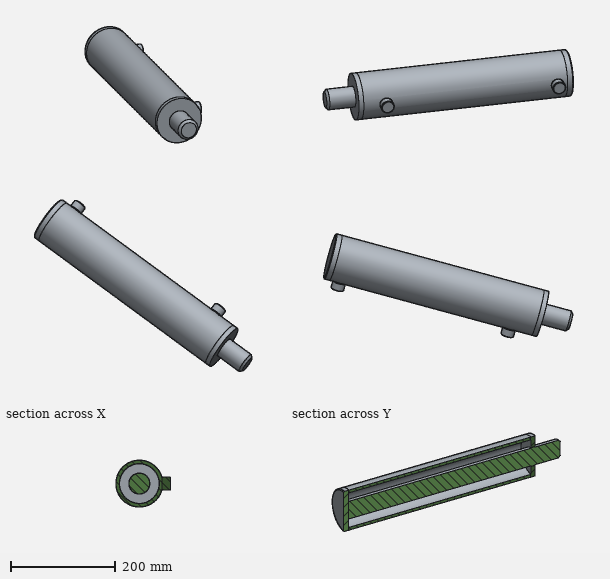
import cadquery as cq

total_length = 480.0
body_diameter = 90.0
cap_length = 12.0
barrel_end = 414.0
head_end = 424.0
cap_chamfer = 2.0

wall_thickness = 7.0
bore_diameter = body_diameter - 2 * wall_thickness
rod_diameter = 40.5
rod_chamfer = 5.0

port_diameter = 25.5
port_chamfer = 1.5
port_tip_y = 60.0
port_base_y = 43.5
port_positions = (31.5, 370.0)


def cylinder_along_x(start, end, diameter):
    """Solid cylinder centred on the X axis."""
    return cq.Workplane("YZ", origin=(start, 0, 0)).circle(diameter / 2).extrude(end - start)


def make_cap():
    """Closed end with a chamfered outer rim."""
    return cylinder_along_x(0, cap_length, body_diameter).faces("<X").chamfer(cap_chamfer)


def make_port(x):
    """Round boss along +Y, chamfered at both ends."""
    boss = (
        cq.Workplane("XZ", origin=(x, port_base_y, 0))
        .circle(port_diameter / 2)
        .extrude(port_base_y - port_tip_y)
    )
    return boss.faces("<Y or >Y").chamfer(port_chamfer)


def make_barrel(ports):
    """Tube with a shallow seat for the foot of each port."""
    barrel = cylinder_along_x(cap_length, barrel_end, body_diameter)
    barrel = barrel.cut(cylinder_along_x(cap_length, barrel_end, bore_diameter))
    for port in ports:
        barrel = barrel.cut(port)
    return barrel


def make_head():
    """Front disc with a hole that fits the rod."""
    disc = cylinder_along_x(barrel_end, head_end, body_diameter)
    return disc.cut(cylinder_along_x(barrel_end, head_end, rod_diameter))


def make_rod():
    """Rod running from the cap out through the head, with a chamfered tip."""
    return cylinder_along_x(cap_length, total_length, rod_diameter).faces(">X").chamfer(rod_chamfer)


cap = make_cap()
ports = [make_port(x) for x in port_positions]
barrel = make_barrel(ports)
head = make_head()
rod = make_rod()

result = cq.Compound.makeCompound([
    cap.val(),
    barrel.val(),
    head.val(),
    rod.val(),
    *[port.val() for port in ports],
])